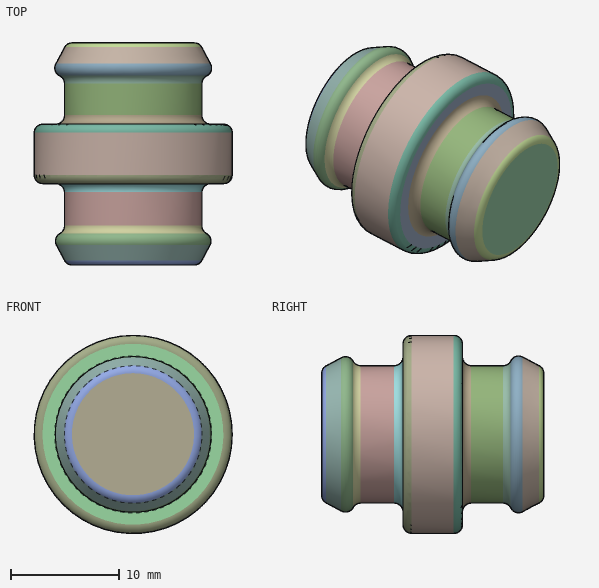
import cadquery as cq
import math

total_length = 20.5
flange_diameter = 18.28
flange_width = 5.5
neck_diameter = 12.7
end_face_diameter = 11.26
edge_radius = 0.8
lead_in_angle = 28.0
rear_crest_depth = 2.33
front_crest_depth = 2.21

half_length = total_length / 2
half_flange = flange_width / 2
half_rim = half_flange - edge_radius
flange_radius = flange_diameter / 2
neck_radius = neck_diameter / 2
end_face_radius = end_face_diameter / 2


def point_on_arc(center, angle):
    """Point at `angle` degrees (0 = along the axis, 90 = radially outward) on an edge arc."""
    theta = math.radians(angle)
    return (
        center[0] + edge_radius * math.cos(theta),
        center[1] + edge_radius * math.sin(theta),
    )


def add_arc(profile, center, start_angle, end_angle):
    """Continue the profile with an edge arc that begins at its current point."""
    middle = point_on_arc(center, (start_angle + end_angle) / 2)
    return profile.threePointArc(middle, point_on_arc(center, end_angle))


def plug(crest_depth):
    """The +Y plug, from the rounded rim of the flange to the end face."""
    end_center = (half_length - edge_radius, end_face_radius)
    crest_axial = half_length - crest_depth
    cone_rise = (end_center[0] - crest_axial) * math.tan(math.radians(lead_in_angle))
    crest_center = (crest_axial, end_face_radius + cone_rise)

    root_center_radius = neck_radius + edge_radius
    root_rise = root_center_radius - crest_center[1]
    root_run = math.sqrt((2 * edge_radius) ** 2 - root_rise**2)
    bead_root_center = (crest_axial - root_run, root_center_radius)
    contact_angle = math.degrees(math.atan2(root_rise, -root_run))

    flange_root_center = (half_flange + edge_radius, root_center_radius)
    flange_edge_center = (half_rim, flange_radius - edge_radius)
    cone_normal = 90 - lead_in_angle

    profile = cq.Workplane("YZ").moveTo(half_rim, 0).lineTo(half_rim, flange_radius)
    profile = add_arc(profile, flange_edge_center, 90, 0)
    profile = profile.lineTo(*point_on_arc(flange_root_center, 180))
    profile = add_arc(profile, flange_root_center, 180, 270)
    profile = profile.lineTo(*point_on_arc(bead_root_center, 270))
    profile = add_arc(profile, bead_root_center, 270, contact_angle + 180)
    profile = add_arc(profile, crest_center, contact_angle, cone_normal)
    profile = profile.lineTo(*point_on_arc(end_center, cone_normal))
    profile = add_arc(profile, end_center, cone_normal, 0)
    profile = profile.lineTo(half_length, 0).close()
    return profile.revolve(360, (0, 0, 0), (1, 0, 0))


rim = cq.Workplane("XZ").circle(flange_radius).extrude(half_rim, both=True)
rear_plug = plug(rear_crest_depth)
front_plug = plug(front_crest_depth).mirror("XZ")
result = rim.union(rear_plug).union(front_plug)